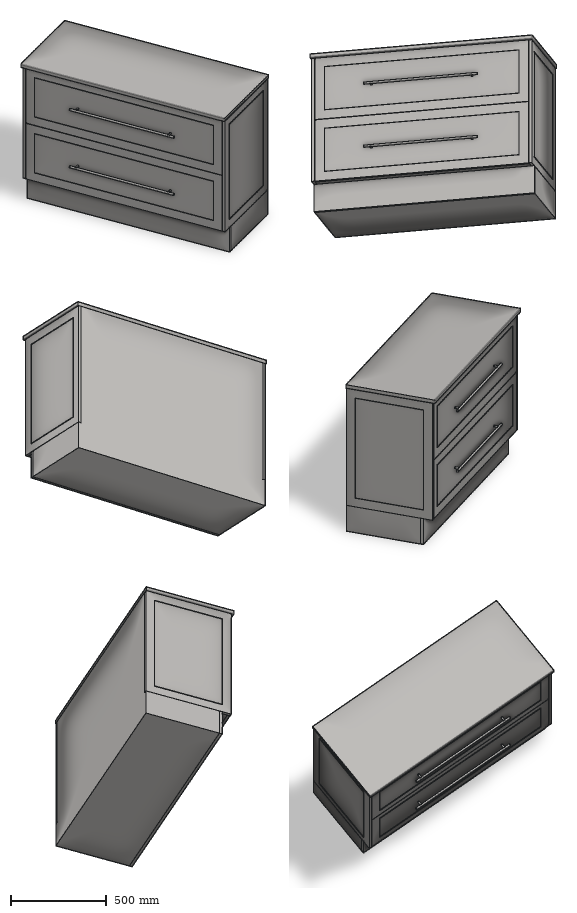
import cadquery as cq

TOTAL_HEIGHT = 850.0
TOTAL_DEPTH = 515.0

TOP_WIDTH = 1200.0
TOP_DEPTH = 500.0
TOP_THICKNESS = 22.0
TOP_EDGE_RADIUS = 3.0

TOP_SIDE_OVERHANG = 5.0
SIDE_DEPTH = 485.0
SIDE_THICKNESS = 16.0

PLINTH_HEIGHT = 150.0
PLINTH_SETBACK = 51.0
KICKBOARD_THICKNESS = 16.0

DRAWER_COUNT = 2
DRAWER_THICKNESS = 16.0
DRAWER_SIDE_GAP = 3.0
DRAWER_GAP = 2.0

FRAME_WIDTH = 50.0
RECESS_DEPTH = 3.0

BAR_LENGTH = 612.0
BAR_DIAMETER = 12.0
POST_SPACING = 544.0
POST_DIAMETER = 10.0
HANDLE_PITCH = 348.0

TOP_UNDERSIDE = TOTAL_HEIGHT - TOP_THICKNESS
BODY_WIDTH = TOP_WIDTH - 2 * TOP_SIDE_OVERHANG
BODY_HEIGHT = TOP_UNDERSIDE - PLINTH_HEIGHT
INNER_WIDTH = BODY_WIDTH - 2 * SIDE_THICKNESS
DRAWER_WIDTH = INNER_WIDTH - 2 * DRAWER_SIDE_GAP
DRAWER_HEIGHT = (BODY_HEIGHT - (DRAWER_COUNT - 1) * DRAWER_GAP) / DRAWER_COUNT
DRAWER_PITCH = DRAWER_HEIGHT + DRAWER_GAP
PLINTH_DEPTH = SIDE_DEPTH - PLINTH_SETBACK
DRAWER_FIELD_Y = -SIDE_DEPTH + RECESS_DEPTH
TOP_HANDLE_Z = TOP_UNDERSIDE - DRAWER_HEIGHT / 2
BAR_Y = -TOTAL_DEPTH + BAR_DIAMETER / 2


def board(width, depth, height, back_y, bottom_z, center_x=0.0):
    """Rectangular board with its back face at back_y and its underside at bottom_z."""
    return (
        cq.Workplane("XY")
        .box(width, depth, height, centered=(True, False, False))
        .translate((center_x, back_y - depth, bottom_z))
    )


def make_top():
    """Worktop with rounded edges around its front face and its underside, square along the back."""
    top = board(TOP_WIDTH, TOP_DEPTH, TOP_THICKNESS, 0, TOP_UNDERSIDE)
    return top.edges("<Y or (<Z and (not >Y))").fillet(TOP_EDGE_RADIUS)


def make_side_panel(side):
    """End panel with a recessed field in its outer face; side is -1 (left) or 1 (right)."""
    center_x = side * (BODY_WIDTH - SIDE_THICKNESS) / 2
    panel = board(SIDE_THICKNESS, SIDE_DEPTH, BODY_HEIGHT, 0, PLINTH_HEIGHT, center_x)
    field = board(
        RECESS_DEPTH,
        SIDE_DEPTH - 2 * FRAME_WIDTH,
        BODY_HEIGHT - 2 * FRAME_WIDTH,
        -FRAME_WIDTH,
        PLINTH_HEIGHT + FRAME_WIDTH,
        side * (BODY_WIDTH - RECESS_DEPTH) / 2,
    )
    return panel.cut(field)


def make_carcass():
    """Solid core behind the drawer fronts, standing on a full-width plinth behind the kickboard."""
    core = board(INNER_WIDTH, SIDE_DEPTH - DRAWER_THICKNESS, BODY_HEIGHT, 0, PLINTH_HEIGHT)
    plinth = board(BODY_WIDTH, PLINTH_DEPTH - KICKBOARD_THICKNESS, PLINTH_HEIGHT, 0, 0)
    return core.union(plinth)


def make_kickboard():
    """Board across the front of the plinth."""
    back_y = -PLINTH_DEPTH + KICKBOARD_THICKNESS
    return board(BODY_WIDTH, KICKBOARD_THICKNESS, PLINTH_HEIGHT, back_y, 0)


def make_drawer_front(bottom_z):
    """Drawer front with a recessed field inside a plain frame."""
    front = board(
        DRAWER_WIDTH, DRAWER_THICKNESS, DRAWER_HEIGHT, -SIDE_DEPTH + DRAWER_THICKNESS, bottom_z
    )
    field = board(
        DRAWER_WIDTH - 2 * FRAME_WIDTH,
        RECESS_DEPTH,
        DRAWER_HEIGHT - 2 * FRAME_WIDTH,
        DRAWER_FIELD_Y,
        bottom_z + FRAME_WIDTH,
    )
    return front.cut(field)


def make_handle(center_z):
    """Round bar carried by two posts that stand on the recessed field of a drawer front."""
    handle = (
        cq.Workplane("YZ", origin=(-BAR_LENGTH / 2, BAR_Y, center_z))
        .circle(BAR_DIAMETER / 2)
        .extrude(BAR_LENGTH)
    )
    posts = (
        cq.Workplane("XZ", origin=(0, DRAWER_FIELD_Y, center_z))
        .pushPoints([(-POST_SPACING / 2, 0), (POST_SPACING / 2, 0)])
        .circle(POST_DIAMETER / 2)
        .extrude(DRAWER_FIELD_Y - BAR_Y)
    )
    return handle.union(posts)


top = make_top()
carcass = make_carcass()
kickboard = make_kickboard()
side_panels = [make_side_panel(side) for side in (-1, 1)]
drawer_bottoms = [PLINTH_HEIGHT + index * DRAWER_PITCH for index in range(DRAWER_COUNT)]
drawer_fronts = [make_drawer_front(bottom) for bottom in drawer_bottoms]
handles = [make_handle(TOP_HANDLE_Z - index * HANDLE_PITCH) for index in range(DRAWER_COUNT)]

bodies = [top, carcass, kickboard, *side_panels, *drawer_fronts, *handles]
result = cq.Compound.makeCompound([body.val() for body in bodies])